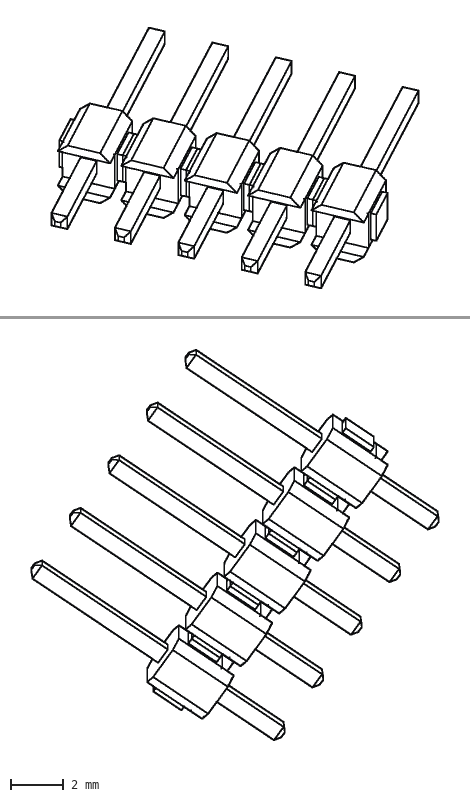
import cadquery as cq

pin_count = 5
pitch = 2.54

block_width = 2.1
block_depth = pitch
block_height = pitch
corner_chamfer = 0.4
flange_thickness = corner_chamfer
core_height = block_height - 2 * flange_thickness
core_depth = 2.0
recess_depth = block_depth - core_depth
back_y = block_depth / 2
front_y = -block_depth / 2

web_depth = 1.3
web_height = 1.34
web_back_margin = 0.44
web_center_y = back_y - web_back_margin - web_depth / 2

pin_side = 0.64
pin_front_length = 3.0
pin_back_length = 6.0
pin_length = pin_front_length + block_depth + pin_back_length
pin_center_y = (pin_back_length - pin_front_length) / 2
tip_chamfer = 0.2


def make_block():
    """Octagonal block whose front is cut back between the top and bottom flanges."""
    block = cq.Workplane("XY").box(block_width, block_depth, block_height)
    block = block.edges("|Y").chamfer(corner_chamfer)
    recess = cq.Workplane("XY").box(block_width, recess_depth, core_height)
    return block.cut(recess.translate((0, front_y + recess_depth / 2, 0)))


def make_web():
    """Bar one pitch long, so that the webs of adjacent cells meet face to face."""
    return cq.Workplane("XY").box(pitch, web_depth, web_height).translate((0, web_center_y, 0))


def make_pin():
    """Square pin along Y, tapered at both ends."""
    pin = cq.Workplane("XY").box(pin_side, pin_length, pin_side)
    pin = pin.faces("<Y or >Y").chamfer(tip_chamfer)
    return pin.translate((0, pin_center_y, 0))


def make_cell(center_x):
    """One header cell: block, web and pin as a single solid."""
    cell = make_block().union(make_web()).union(make_pin())
    return cell.translate((center_x, 0, 0))


first_x = -(pin_count - 1) * pitch / 2
cells = [make_cell(first_x + index * pitch) for index in range(pin_count)]

result = cq.Compound.makeCompound([cell.solids().val() for cell in cells])